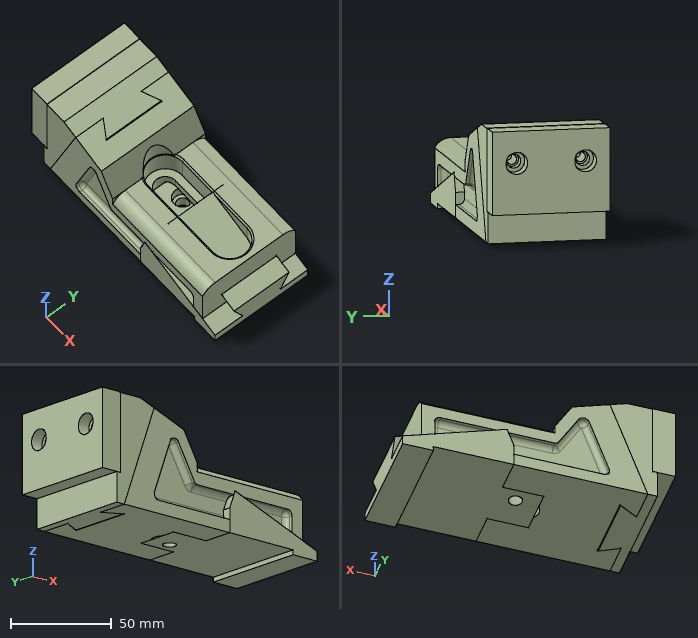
import cadquery as cq
import math


LENGTH = 142.8
WIDTH = 60.0
TOP_Z = 58.1
HEEL_DROP = 2.5

SLANT = math.radians(20)
SLANT_TAN = math.tan(SLANT)
STEP_ANGLE = math.radians(60)

DOVETAIL_HEIGHT = 9.5
DOVETAIL_GROOVE_DEPTH = 10.0
DOVETAIL_TIP_WIDTH = 36.0
DOVETAIL_FLANK = math.radians(30)

PLATE_THICKNESS = 12.0
PLATE_BOTTOM_Z = 16.0
SCREW_SPACING = 35.0
SCREW_Z = 41.8
COUNTERBORE_DIAMETER = 11.0
CLEARANCE_DIAMETER = 7.0
PLATE_COUNTERBORE_DEPTH = 7.0

LEDGE_X = 9.5
CARRIER_TOP_Z = 57.8
SLOPE_START_X = 25.3
SLIDE_FOOT_X = 14.5
TAP_DIAMETER = 5.0
TAP_DEPTH = 11.4
DRILL_POINT_ANGLE = math.radians(118)

BLOCK_HEIGHT = 32.0
BLOCK_STEP_X = 63.1
BLOCK_REAR_X = 133.0
SHOULDER_WIDTH = 8.1
SHOULDER_DROP = 4.9

SLOT_WIDTH = 22.0
SLOT_INNER_WIDTH = 12.8
SLOT_FRONT_X = 68.0
SLOT_REAR_X = 118.0
SLOT_FLOOR_Z = 18.0
SLOT_CHAMFER = 1.0

POCKET_DEPTH = 4.5
POCKET_FOOT_X = 37.5
POCKET_FOOT_Z = 9.8
POCKET_PEAK_Z = 38.5
POCKET_RIB_Z = 17.4
POCKET_REAR_X = 122.9
POCKET_STANDOFF = 3.0
POCKET_FLOOR_FILLET = 2.9
POCKET_BEND_RADIUS = 5.0

WEDGE_FRONT_X = 84.7
WEDGE_KNEE_Z = 13.0
WEDGE_PEAK_Z = 22.5
HEEL_X = 126.8
WEDGE_HOLE_X = 75.5
WEDGE_HOLE_Y = 4.9
WEDGE_COUNTERBORE_DEPTH = 6.0

dovetail_neck_width = DOVETAIL_TIP_WIDTH - 2 * DOVETAIL_GROOVE_DEPTH * math.tan(DOVETAIL_FLANK)
slide_top_z = (CARRIER_TOP_Z + (SLOPE_START_X - SLIDE_FOOT_X) * SLANT_TAN) * math.cos(SLANT) ** 2
slide_top_x = SLIDE_FOOT_X + slide_top_z * SLANT_TAN
step_tan = math.tan(STEP_ANGLE)
brow_x = (
    BLOCK_HEIGHT - CARRIER_TOP_Z + BLOCK_STEP_X * step_tan - SLOPE_START_X * SLANT_TAN
) / (step_tan - SLANT_TAN)
brow_z = BLOCK_HEIGHT + (BLOCK_STEP_X - brow_x) * step_tan
wedge_peak_x = WEDGE_FRONT_X + (WEDGE_PEAK_Z - WEDGE_KNEE_Z) * SLANT_TAN
wedge_rear_z = WEDGE_PEAK_Z - (LENGTH - wedge_peak_x) * SLANT_TAN
screw_ys = (-SCREW_SPACING / 2, SCREW_SPACING / 2)


def prism(points):
    """Extrude an XZ outline over the full width, evenly to both sides of the centre plane."""
    return cq.Workplane("XZ").polyline(points).close().extrude(WIDTH / 2, both=True)


def envelope():
    """Box above the underside that trims the ends of the dovetail bars."""
    return cq.Workplane("XY").box(LENGTH, WIDTH, TOP_Z, centered=(False, True, False))


def dovetail_bar(start, along, outward, height):
    """Dovetail that starts at `start`, runs in direction `along` and stands up in direction `outward`."""
    half_neck = dovetail_neck_width / 2
    half_tip = half_neck + height * math.tan(DOVETAIL_FLANK)
    plane = cq.Plane(origin=start, xDir=outward, normal=along)
    section = [(0, -half_neck), (height, -half_tip), (height, half_tip), (0, half_neck)]
    return cq.Workplane(plane).polyline(section).close().extrude(LENGTH).intersect(envelope())


def carrier_dovetail(height):
    """Dovetail that runs down the slanted face between the carrier and the slide block."""
    down_slide = (-math.sin(SLANT), 0, -math.cos(SLANT))
    off_slide = (math.cos(SLANT), 0, -math.sin(SLANT))
    return dovetail_bar((slide_top_x, 0, slide_top_z), down_slide, off_slide, height)


def wedge_dovetail():
    """Dovetail that runs rearward down the slanted top of the wedge."""
    down_wedge = (math.cos(SLANT), 0, -math.sin(SLANT))
    off_wedge = (math.sin(SLANT), 0, math.cos(SLANT))
    return dovetail_bar((wedge_peak_x, 0, WEDGE_PEAK_Z), down_wedge, off_wedge, DOVETAIL_HEIGHT)


def hole_x(diameter, start_x, depth, y):
    """Cylinder along +X at screw height, for cutting a hole."""
    return cq.Workplane("YZ", origin=(start_x, y, SCREW_Z)).circle(diameter / 2).extrude(depth)


def make_jaw_plate():
    """Jaw plate with two counterbored screw holes."""
    plate_height = TOP_Z - PLATE_BOTTOM_Z
    plate = cq.Workplane("XY", origin=(0, 0, PLATE_BOTTOM_Z)).box(
        PLATE_THICKNESS, WIDTH, plate_height, centered=(False, True, False)
    )
    for y in screw_ys:
        plate = plate.cut(hole_x(COUNTERBORE_DIAMETER, 0, PLATE_COUNTERBORE_DEPTH, y))
        plate = plate.cut(hole_x(CLEARANCE_DIAMETER, 0, PLATE_THICKNESS, y))
    return plate


def tapped_hole(y):
    """Blind hole with a conical drill point, entering the carrier behind the jaw plate."""
    radius = TAP_DIAMETER / 2
    point_length = radius / math.tan(DRILL_POINT_ANGLE / 2)
    bottom = cq.Vector(PLATE_THICKNESS + TAP_DEPTH, y, SCREW_Z)
    point = cq.Solid.makeCone(radius, 0, point_length, bottom, cq.Vector(1, 0, 0))
    return hole_x(TAP_DIAMETER, PLATE_THICKNESS, TAP_DEPTH, y).union(cq.Workplane(point))


def make_carrier():
    """Carrier with a ledge under the jaw plate and a dovetail on its slanted rear."""
    carrier = prism([
        (LEDGE_X, 0),
        (SLIDE_FOOT_X, 0),
        (slide_top_x, slide_top_z),
        (SLOPE_START_X, CARRIER_TOP_Z),
        (PLATE_THICKNESS, CARRIER_TOP_Z),
        (PLATE_THICKNESS, PLATE_BOTTOM_Z),
        (LEDGE_X, PLATE_BOTTOM_Z),
    ]).union(carrier_dovetail(DOVETAIL_HEIGHT))
    for y in screw_ys:
        carrier = carrier.cut(tapped_hole(y))
    return carrier


def wedge_blank():
    """Wedge with its front tongue and dovetail, before the hole is drilled."""
    body = prism([
        (WEDGE_FRONT_X, 0),
        (WEDGE_FRONT_X, WEDGE_KNEE_Z),
        (wedge_peak_x, WEDGE_PEAK_Z),
        (LENGTH, wedge_rear_z),
        (LENGTH, -HEEL_DROP),
        (HEEL_X, -HEEL_DROP),
        (HEEL_X, 0),
    ])
    tongue = cq.Workplane("XY", origin=(BLOCK_STEP_X, 0, 0)).box(
        WEDGE_FRONT_X - BLOCK_STEP_X, dovetail_neck_width, WEDGE_KNEE_Z, centered=(False, True, False)
    )
    return body.union(wedge_dovetail()).union(tongue)


def make_wedge():
    """Wedge with one counterbored hole down through its tongue."""
    drill_top = cq.Workplane("XY", origin=(WEDGE_HOLE_X, WEDGE_HOLE_Y, WEDGE_KNEE_Z))
    counterbore = drill_top.circle(COUNTERBORE_DIAMETER / 2).extrude(-WEDGE_COUNTERBORE_DEPTH)
    through_hole = drill_top.circle(CLEARANCE_DIAMETER / 2).extrude(-WEDGE_KNEE_Z)
    return wedge_blank().cut(counterbore).cut(through_hole)


def slot_outline(width, z):
    """Round-ended outline about the slot's two end centres, at height z."""
    middle_x = (SLOT_FRONT_X + SLOT_REAR_X) / 2
    overall_length = SLOT_REAR_X - SLOT_FRONT_X + width
    return cq.Workplane("XY", origin=(middle_x, 0, z)).slot2D(overall_length, width)


def slot_cutters():
    """Wide slot down to the ledge, a narrow slot through it, and a chamfer along the low top face."""
    wide = slot_outline(SLOT_WIDTH, SLOT_FLOOR_Z).extrude(TOP_Z - SLOT_FLOOR_Z)
    narrow = slot_outline(SLOT_INNER_WIDTH, 0).extrude(TOP_Z)
    chamfer_width = SLOT_WIDTH + 2 * SLOT_CHAMFER
    chamfer = slot_outline(chamfer_width, BLOCK_HEIGHT).extrude(-SLOT_CHAMFER, taper=45)
    return wide, narrow, chamfer


def shoulder_cutter():
    """Bar that rounds the -Y top edge of the block, tangent to the top face."""
    radius = (SHOULDER_WIDTH ** 2 + SHOULDER_DROP ** 2) / (2 * SHOULDER_DROP)
    half_turn = math.asin(SHOULDER_WIDTH / radius) / 2
    top_y = SHOULDER_WIDTH - WIDTH / 2
    middle = (top_y - radius * math.sin(half_turn), BLOCK_HEIGHT - radius * (1 - math.cos(half_turn)))
    return (
        cq.Workplane("YZ", origin=(BLOCK_STEP_X, 0, 0))
        .moveTo(top_y, BLOCK_HEIGHT)
        .threePointArc(middle, (-WIDTH / 2, BLOCK_HEIGHT - SHOULDER_DROP))
        .lineTo(-WIDTH / 2, BLOCK_HEIGHT)
        .close()
        .extrude(BLOCK_REAR_X - BLOCK_STEP_X)
    )


def pocket_cutter():
    """Side pocket in the -Y face, with a rounded edge all around its floor."""
    peak_x = POCKET_FOOT_X + (POCKET_PEAK_Z - POCKET_FOOT_Z) * SLANT_TAN
    bend_x = peak_x + (POCKET_PEAK_Z - POCKET_RIB_Z) / step_tan
    floor_points = [
        (POCKET_FOOT_X, POCKET_FOOT_Z),
        (peak_x, POCKET_PEAK_Z),
        (bend_x, POCKET_RIB_Z),
        (POCKET_REAR_X, POCKET_RIB_Z),
        (POCKET_REAR_X, POCKET_FOOT_Z),
    ]
    floor = (
        prism(floor_points)
        .edges(cq.selectors.NearestToPointSelector((bend_x, 0, POCKET_RIB_Z)))
        .fillet(POCKET_BEND_RADIUS)
    )
    outline = floor.faces("<Y").wires().val().offset2D(POCKET_STANDOFF)
    inward = cq.Vector(0, POCKET_DEPTH, 0)
    pocket = cq.Workplane(cq.Solid.extrudeLinear(outline[0], [], inward))
    return pocket.faces(">Y").edges().fillet(POCKET_FLOOR_FILLET)


def make_slide_block():
    """Slide block, slotted from above and recessed to fit the carrier and the wedge."""
    block = prism([
        (SLIDE_FOOT_X, 0),
        (slide_top_x, slide_top_z),
        (brow_x, brow_z),
        (BLOCK_STEP_X, BLOCK_HEIGHT),
        (BLOCK_REAR_X, BLOCK_HEIGHT),
        (BLOCK_REAR_X, 0),
    ])
    for cutter in slot_cutters():
        block = block.cut(cutter)
    for cutter in (shoulder_cutter(), pocket_cutter()):
        block = block.cut(cutter).cut(cutter.mirror("XZ"))
    return block.cut(carrier_dovetail(DOVETAIL_GROOVE_DEPTH)).cut(wedge_blank())


jaw_plate = make_jaw_plate()
carrier = make_carrier()
slide_block = make_slide_block()
wedge = make_wedge()

result = cq.Compound.makeCompound([
    jaw_plate.solids().val(),
    carrier.solids().val(),
    slide_block.solids().val(),
    wedge.solids().val(),
])